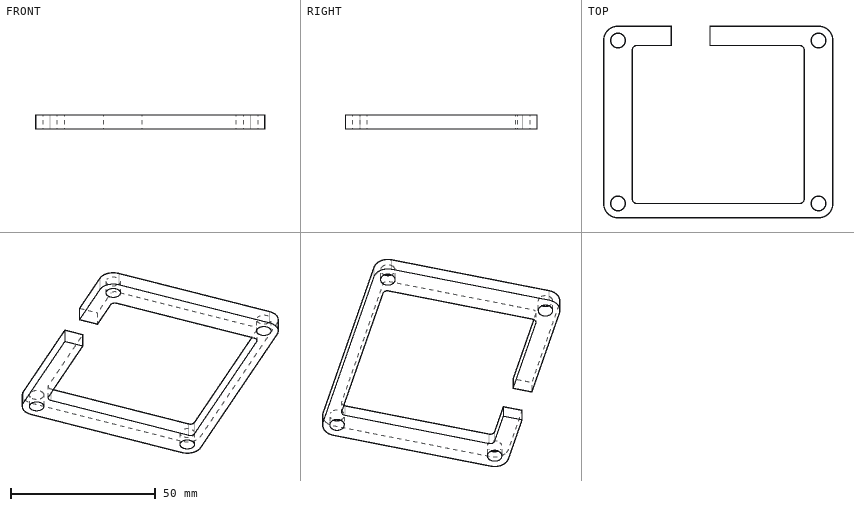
import cadquery as cq

length = 79.15
depth = 66.2
thickness = 5.0
corner_radius = 5.0

hole_diameter = 5.0

side_wall = 10.0
front_wall = 5.0
back_wall = 6.7
window_radius = 1.5

gap_start = 23.4
gap_width = 13.2

plate = (
    cq.Workplane("XY")
    .box(length, depth, thickness, centered=False)
    .edges("|Z")
    .fillet(corner_radius)
)

window = (
    cq.Workplane("XY")
    .box(length - 2 * side_wall, depth - front_wall - back_wall, thickness, centered=False)
    .edges("|Z")
    .fillet(window_radius)
    .translate((side_wall, front_wall, 0))
)

gap = (
    cq.Workplane("XY")
    .box(gap_width, depth / 2, thickness, centered=False)
    .translate((gap_start, depth / 2, 0))
)

hole_centers = [
    (x, y)
    for x in (corner_radius, length - corner_radius)
    for y in (corner_radius, depth - corner_radius)
]
holes = (
    cq.Workplane("XY")
    .pushPoints(hole_centers)
    .circle(hole_diameter / 2)
    .extrude(thickness)
)

result = plate.cut(window).cut(gap).cut(holes)